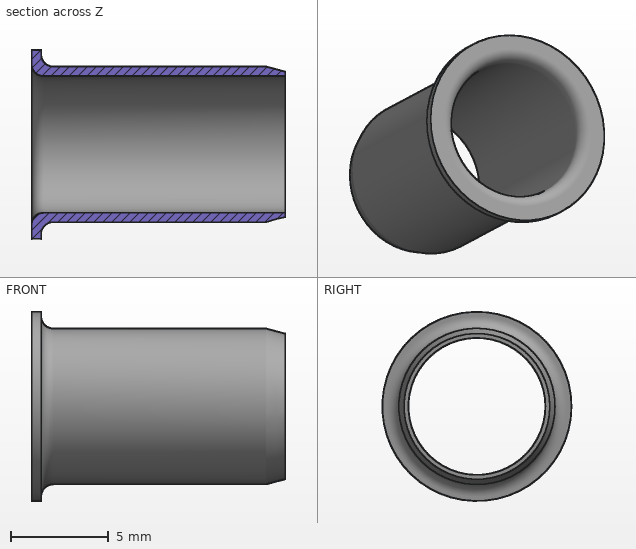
import cadquery as cq
import math

length = 13.0
flange_diameter = 9.7
flange_thickness = 0.5
body_diameter = 8.0
bore_diameter = 7.0
neck_radius = 0.6
mouth_radius = 0.6
tip_length = 1.0
tip_angle = 15.0

flange_outer = flange_diameter / 2
body_outer = body_diameter / 2
bore = bore_diameter / 2
tip_outer = body_outer - tip_length * math.tan(math.radians(tip_angle))


def inner_arc_middle(center, radius):
    """Middle of the quarter circle facing the flange face and the X axis."""
    offset = radius * math.sqrt(0.5)
    return (center[0] - offset, center[1] - offset)


def sleeve():
    """Flanged tube revolved about the X axis, flange face at X = 0."""
    neck_center = (flange_thickness + neck_radius, body_outer + neck_radius)
    mouth_center = (mouth_radius, bore + mouth_radius)
    profile = (
        cq.Workplane("XY")
        .moveTo(0, mouth_center[1])
        .lineTo(0, flange_outer)
        .lineTo(flange_thickness, flange_outer)
        .lineTo(flange_thickness, neck_center[1])
        .threePointArc(inner_arc_middle(neck_center, neck_radius), (neck_center[0], body_outer))
        .lineTo(length - tip_length, body_outer)
        .lineTo(length, tip_outer)
        .lineTo(length, bore)
        .lineTo(mouth_center[0], bore)
        .threePointArc(inner_arc_middle(mouth_center, mouth_radius), (0, mouth_center[1]))
        .close()
    )
    return profile.revolve(360, (0, 0, 0), (1, 0, 0))


result = sleeve()